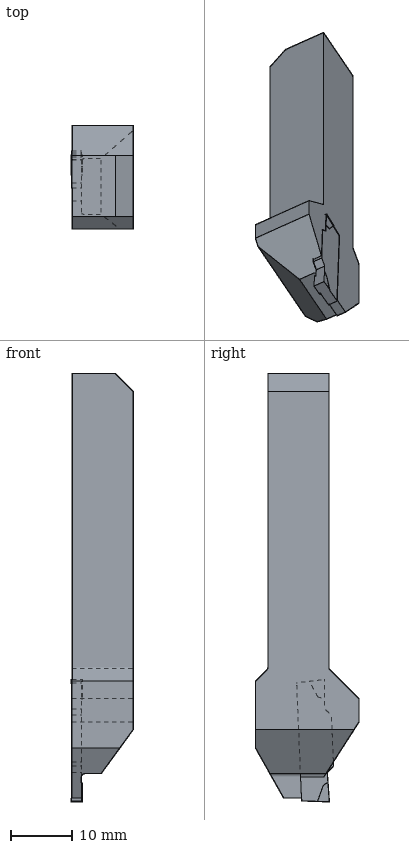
import cadquery as cq
import math

shank_width = 10.0
overall_height = 70.0
top_chamfer = 2.95

neck_z = 21.8
front_overhang = 2.0
rear_overhang = 4.9
neck_fillet = 0.55
front_lower_z = 8.8
rear_lower_z = 13.1
nose_z = 0.6
nose_front_y = 2.6
nose_rear_y = 6.9

blade_thickness = 1.55
body_bottom_z = 4.6
body_bottom_x = 4.75
relief_top_z = 11.8
blade_fillet = 0.55

insert_proud = 0.1
insert_back_half_length = 9.65
insert_tip_half_length = 10.0
tip_width = 4.55
neck_s = 5.2
neck_t = 4.4
shoulder_s = 4.2
shoulder_t = 5.45
insert_tilt = 2.4
insert_back_y = 5.1

cheek_proud = 0.1
far_cheek_proud = 0.2
cheek_side_s = 6.85
upper_cheek_end_t = 2.1
upper_cheek_corner = (3.35, 7.2)
lower_cheek_end_t = 2.6
lower_cheek_arc_start = (3.6, 7.4)
lower_cheek_arc_middle = (3.9, 7.1)

tilt = math.radians(insert_tilt)
insert_mid_z = insert_tip_half_length * math.cos(tilt) - tip_width * math.sin(tilt)


def make_blank():
    """Shank and head outline, extruded through the full shank width."""
    front_y = -front_overhang
    rear_y = shank_width + rear_overhang
    outline = [
        (0, overall_height),
        (0, neck_z),
        (front_y, neck_z - front_overhang),
        (front_y, front_lower_z),
        (nose_front_y, nose_z),
        (nose_rear_y, nose_z),
        (rear_y, rear_lower_z),
        (rear_y, neck_z - rear_overhang),
        (shank_width, neck_z),
        (shank_width, overall_height),
    ]
    blank = cq.Workplane("YZ").polyline(outline).close().extrude(shank_width)
    front_neck = cq.selectors.NearestToPointSelector((shank_width / 2, 0, neck_z))
    blank = blank.edges(front_neck).fillet(neck_fillet)
    return blank.faces(">Z").edges(">X").chamfer(top_chamfer)


def make_relief():
    """Volume removed beside the blade and under the sloping body."""
    depth = front_overhang + shank_width + rear_overhang
    outline = [
        (blade_thickness, 0),
        (blade_thickness, body_bottom_z),
        (body_bottom_x, body_bottom_z),
        (shank_width, relief_top_z),
        (shank_width, 0),
    ]
    relief = (
        cq.Workplane("XZ", origin=(0, shank_width + rear_overhang, 0))
        .polyline(outline).close().extrude(depth)
    )
    middle_y = depth / 2 - front_overhang
    corner = cq.selectors.NearestToPointSelector((blade_thickness, middle_y, body_bottom_z))
    return relief.edges(corner).fillet(blade_fillet)


def tip_side_t(s):
    """Distance from the back edge to the tip side at position s."""
    share = (s - neck_s) / (insert_tip_half_length - neck_s)
    return neck_t + share * (tip_width - neck_t)


def start_cheek(end_t):
    """Begin a cheek outline at the tip corner and follow the tip end to end_t."""
    end_slope = (insert_tip_half_length - insert_back_half_length) / tip_width
    return (
        cq.Workplane("YZ", origin=(-insert_proud - cheek_proud, 0, 0))
        .moveTo(tip_width, insert_tip_half_length)
        .lineTo(end_t, insert_back_half_length + end_slope * end_t)
    )


def finish_cheek(outline):
    """Extrude a cheek through the insert, its near face rising toward the tip end."""
    near_x = -insert_proud - cheek_proud
    cheek = outline.close().extrude(blade_thickness + far_cheek_proud - near_x)
    ramp = (
        cq.Workplane("XZ")
        .polyline([
            (near_x, cheek_side_s),
            (-insert_proud, cheek_side_s),
            (near_x, insert_tip_half_length),
        ])
        .close().extrude(-tip_width)
    )
    return cheek.cut(ramp)


def make_upper_cheek():
    """Cheek with a straight inner border, on the upper tip."""
    outline = (
        start_cheek(upper_cheek_end_t)
        .lineTo(*upper_cheek_corner)
        .lineTo(tip_side_t(cheek_side_s), cheek_side_s)
    )
    return finish_cheek(outline)


def make_lower_cheek():
    """Cheek with a curved inner border, mirrored down to the lower tip."""
    side_point = (tip_side_t(cheek_side_s), cheek_side_s)
    outline = (
        start_cheek(lower_cheek_end_t)
        .lineTo(*lower_cheek_arc_start)
        .threePointArc(lower_cheek_arc_middle, side_point)
    )
    return finish_cheek(outline).mirror("XY")


def make_insert():
    """Double-ended insert, mirrored about its middle and tilted about X."""
    upper_points = [
        (shoulder_t, shoulder_s),
        (neck_t, neck_s),
        (tip_width, insert_tip_half_length),
        (0, insert_back_half_length),
    ]
    lower_points = [(t, -s) for t, s in reversed(upper_points)]
    insert = (
        cq.Workplane("YZ", origin=(-insert_proud, 0, 0))
        .polyline(upper_points + lower_points).close()
        .extrude(insert_proud + blade_thickness)
    )
    insert = insert.union(make_upper_cheek()).union(make_lower_cheek())
    return (
        insert.rotate((0, 0, 0), (1, 0, 0), insert_tilt)
        .translate((0, insert_back_y, insert_mid_z))
    )


insert = make_insert()
holder = make_blank().cut(make_relief()).cut(insert)

result = cq.Compound.makeCompound([holder.val(), insert.val()])